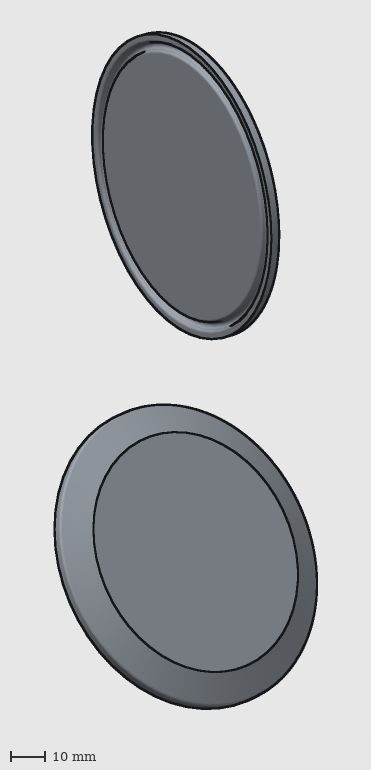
import cadquery as cq
import math

outer_radius = 45.5
thickness = 6.4

back_face_radius = 36.1
back_slope_deg = 20.0
edge_round = 0.9

groove_inner_radius = 39.8
groove_outer_radius = 43.9
groove_lip_round = 0.9


def make_disc():
    """Flat disc with a conical back and a rounded outer edge."""
    cone_height = (outer_radius - back_face_radius) * math.tan(math.radians(back_slope_deg))
    rim_height = thickness - cone_height
    disc = (
        cq.Workplane("XY")
        .moveTo(0, 0)
        .lineTo(outer_radius, 0)
        .lineTo(outer_radius, rim_height)
        .lineTo(back_face_radius, thickness)
        .lineTo(0, thickness)
        .close()
        .revolve(360, (0, 0, 0), (0, 1, 0))
    )
    rim_edge = cq.selectors.BoxSelector(
        (-outer_radius, rim_height - edge_round / 2, -outer_radius),
        (outer_radius, rim_height + edge_round / 2, outer_radius),
        boundingbox=False,
    )
    return disc.edges("%CIRCLE").edges(rim_edge).fillet(edge_round)


def make_groove():
    """Ring with a half-round floor and rounded lips that flare out to the front face."""
    lip = groove_lip_round
    arc_inset = lip * (1 - math.sqrt(0.5))
    inner_wall = groove_inner_radius + lip
    outer_wall = groove_outer_radius - lip
    floor_round = (outer_wall - inner_wall) / 2
    floor_center = (inner_wall + outer_wall) / 2
    return (
        cq.Workplane("XY")
        .moveTo(groove_inner_radius, 0)
        .threePointArc((inner_wall - arc_inset, arc_inset), (inner_wall, lip))
        .threePointArc((floor_center, lip + floor_round), (outer_wall, lip))
        .threePointArc((outer_wall + arc_inset, arc_inset), (groove_outer_radius, 0))
        .close()
        .revolve(360, (0, 0, 0), (0, 1, 0))
    )


result = make_disc().cut(make_groove())